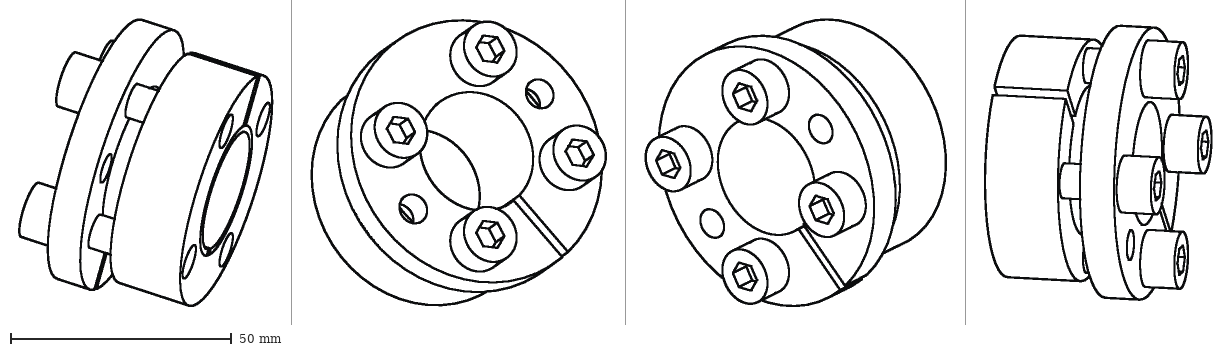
import cadquery as cq
import math


flange_thickness = 8.0
gap = 6.0
ring_length = 17.1
head_height = 8.0
socket_depth = 4.95
ring_front = flange_thickness + gap
back = ring_front + ring_length

flange_radius = 30.9
bore_radius = 14.0
taper_angle = 5.0
taper_radius_at_flange = 17.5
sleeve_slit_width = 2.0
sleeve_slit_angle = 225.0

ring_radius = 27.45
ring_slit_width = 2.2
ring_slit_angle = 45.0

pitch_radius = 22.0
head_diameter = 13.0
shank_diameter = 8.0
socket_across_flats = 6.0
screw_angles = [0, 90, 180, 270]
jack_hole_diameter = 6.8
jack_hole_angles = [135, 315]


def taper_radius(x):
    """Radius of the mating cone, which narrows towards the back."""
    return taper_radius_at_flange - (x - flange_thickness) * math.tan(math.radians(taper_angle))


def revolve_about_x(profile):
    """Revolve a closed outline of (x, radius) points about the X axis."""
    return cq.Workplane("XY").polyline(profile).close().revolve(360, (0, 0, 0), (1, 0, 0))


def pitch_point(angle):
    """(y, z) of a point on the pitch circle; the angle runs from +Y towards +Z."""
    angle = math.radians(angle)
    return pitch_radius * math.cos(angle), pitch_radius * math.sin(angle)


def cylinder(x_start, x_end, diameter, center=(0, 0)):
    """Cylinder along X centred on (y, z)."""
    plane = cq.Workplane("YZ").workplane(offset=x_start).center(*center)
    return plane.circle(diameter / 2).extrude(x_end - x_start)


def radial_slit(width, angle):
    """Full-length cutter that runs from the axis outwards at the given angle."""
    slit = cq.Workplane("XY").box(back, flange_radius * 2, width, centered=(False, False, True))
    return slit.rotate((0, 0, 0), (1, 0, 0), angle)


def make_sleeve():
    sleeve = revolve_about_x([
        (0, bore_radius),
        (0, flange_radius),
        (flange_thickness, flange_radius),
        (flange_thickness, taper_radius_at_flange),
        (back, taper_radius(back)),
        (back, bore_radius),
    ])
    for angle in screw_angles:
        sleeve = sleeve.cut(cylinder(0, flange_thickness, shank_diameter, pitch_point(angle)))
    for angle in jack_hole_angles:
        sleeve = sleeve.cut(cylinder(0, flange_thickness, jack_hole_diameter, pitch_point(angle)))
    return sleeve.cut(radial_slit(sleeve_slit_width, sleeve_slit_angle))


def make_ring():
    ring = revolve_about_x([
        (ring_front, taper_radius(ring_front)),
        (ring_front, ring_radius),
        (back, ring_radius),
        (back, taper_radius(back)),
    ])
    for angle in screw_angles:
        ring = ring.cut(cylinder(ring_front, back, shank_diameter, pitch_point(angle)))
    return ring.cut(radial_slit(ring_slit_width, ring_slit_angle))


def make_screw(angle):
    """Hex-socket cap screw with its shank running to the back of the ring."""
    center = pitch_point(angle)
    head = cylinder(-head_height, 0, head_diameter, center)
    shank = cylinder(0, back, shank_diameter, center)
    across_corners = socket_across_flats / math.cos(math.radians(30))
    socket_plane = cq.Workplane("YZ").workplane(offset=-head_height).center(*center)
    socket = socket_plane.polygon(6, across_corners).extrude(socket_depth)
    return head.union(shank).cut(socket)


sleeve = make_sleeve().solids()
ring = make_ring().solids()
screws = [make_screw(angle).solids().val() for angle in screw_angles]

result = cq.Compound.makeCompound([sleeve.val(), ring.val(), *screws])